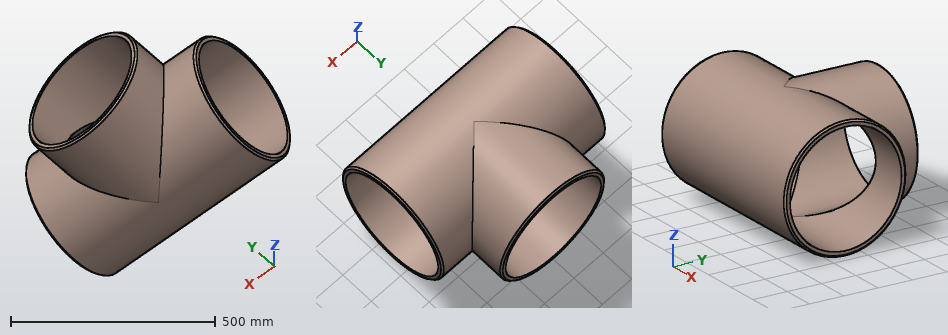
import cadquery as cq

run_length = 559.0
outer_diameter = 355.5
bore_diameter = 325.0
bevel = 5.0

half_run = run_length / 2
outer_radius = outer_diameter / 2
bore_radius = bore_diameter / 2
branch_reach = half_run


def run_cylinder(radius):
    """Cylinder along the full length of the run."""
    return cq.Workplane("YZ").circle(radius).extrude(half_run, both=True)


def branch_cylinder(radius):
    """Cylinder from the run axis to the branch end face."""
    return cq.Workplane("XZ").circle(radius).extrude(-branch_reach)


def beveled_run():
    """Solid run with both outer rims beveled."""
    half_profile = [
        (-half_run, 0),
        (-half_run, outer_radius - bevel),
        (-half_run + bevel, outer_radius),
        (half_run - bevel, outer_radius),
        (half_run, outer_radius - bevel),
        (half_run, 0),
    ]
    return cq.Workplane("XY").polyline(half_profile).close().revolve(360, (0, 0), (1, 0))


def beveled_branch():
    """Solid branch with its outer rim beveled."""
    half_profile = [
        (0, 0),
        (outer_radius, 0),
        (outer_radius, branch_reach - bevel),
        (outer_radius - bevel, branch_reach),
        (0, branch_reach),
    ]
    return cq.Workplane("XY").polyline(half_profile).close().revolve(360, (0, 0), (0, 1))


outer_body = beveled_run().union(beveled_branch())
bores = run_cylinder(bore_radius).union(branch_cylinder(bore_radius))
result = outer_body.cut(bores)